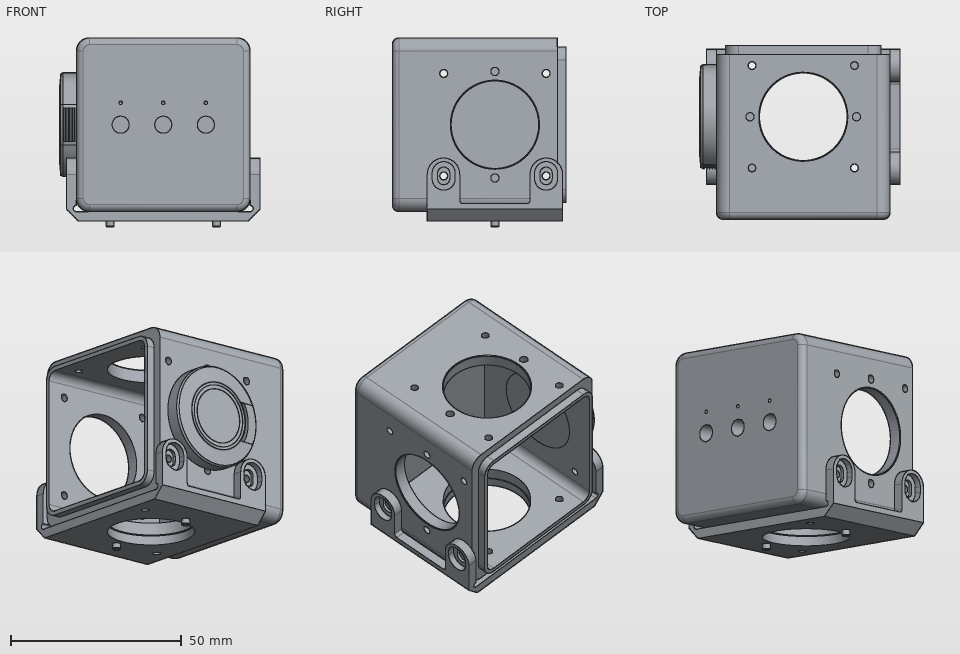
import cadquery as cq


cube_side = 50.8
half_cube = cube_side / 2
front_y = -30.0
back_y = 18.3
lip_height = 2.6
lip_side = 45.6
side_edge_radius = 3.8
front_edge_radius = 2.0
wall = 3.9
cavity_side = cube_side - 2 * wall
half_cavity = cavity_side / 2
cavity_corner_radius = side_edge_radius - (lip_side - cavity_side) / 2

port_diameter = 25.6
port_mouth_diameter = 26.1
port_chamfer = (port_mouth_diameter - port_diameter) / 2
screw_spacing = 29.95
screw_hole_diameter = 2.25
pin_spacing = 31.15
pin_diameter = 2.4
pin_hole_depth = 2.95
overrun = 0.6

front_hole_spacing = 12.45
front_hole_diameter = 5.0
front_hole_depth = 7.05
dimple_diameter = 1.0
dimple_depth = dimple_diameter / 2
dimple_z = 6.4

bracket_wall = 2.95
bracket_floor = 2.8
bracket_half_length = 19.8
bracket_chamfer = 3.5
bracket_half_width = half_cube + bracket_wall
bracket_bottom = -half_cube - bracket_floor
tab_radius = 4.75
tab_arc_z = -14.5
window_sill_height = 2.35
window_corner_radius = 0.9
relief_diameter = 1.75
slot_travel = 1.6
slot_width = 3.6
slot_recess_width = 6.75
slot_recess_depth = 2.0

pin_protrusion = 1.7
pin_tip_chamfer = 0.25

cap_diameter = 30.45
cap_height = 5.0
cap_rim_height = 4.6
cap_rim_chamfer_width = 0.4
cap_rim_chamfer_height = 0.65
cap_cone_radius = 10.4
cap_groove_radius = 9.75
cap_groove_section_radius = 0.4
cap_dish_radius = 8.15
cap_dish_depth = 0.1

latch_half_width = 5.95
latch_inner_radius = 11.5
grip_half_width = 4.9
grip_start = 0.35
grip_end = 3.6
grip_groove_count = 4
grip_groove_depth = 0.5


def centred_box(x_size, z_size, y_start, y_end, corner_radius):
    """Block along Y, centred on the Y axis, with its four long edges rounded."""
    block = cq.Workplane("XY").box(x_size, y_end - y_start, z_size)
    block = block.translate((0, (y_start + y_end) / 2, 0))
    return block.edges("|Y").fillet(corner_radius)


def x_cylinder(diameter, x_start, x_end, y=0, z=0):
    """Cylinder along X."""
    disc = cq.Workplane("YZ", origin=(x_start, y, z)).circle(diameter / 2)
    return disc.extrude(x_end - x_start)


def port_set():
    """Cutters for one port in the top wall: bore, chamfered mouth, screw and pin holes."""
    bore = (
        cq.Workplane("XY", origin=(0, 0, half_cavity - overrun))
        .circle(port_diameter / 2)
        .extrude(wall + 2 * overrun)
    )
    mouth = (
        cq.Workplane("XY", origin=(0, 0, half_cube))
        .circle(port_mouth_diameter / 2)
        .extrude(-port_chamfer, taper=45)
    )
    screws = (
        cq.Workplane("XY", origin=(0, 0, half_cavity - overrun))
        .rect(screw_spacing, screw_spacing, forConstruction=True)
        .vertices()
        .circle(screw_hole_diameter / 2)
        .extrude(wall + 2 * overrun)
    )
    pins = (
        cq.Workplane("XY", origin=(0, 0, half_cube))
        .pushPoints([(-pin_spacing / 2, 0), (pin_spacing / 2, 0)])
        .circle(pin_diameter / 2)
        .extrude(-pin_hole_depth)
    )
    return bore.union(mouth).union(screws).union(pins)


def make_housing():
    """Hollow cube, open at the back, with a raised lip there and a port in each of four walls."""
    body = centred_box(cube_side, cube_side, front_y, back_y, side_edge_radius)
    body = body.faces("<Y").edges().fillet(front_edge_radius)
    body = body.union(centred_box(lip_side, lip_side, back_y, back_y + lip_height, side_edge_radius))
    cavity = centred_box(cavity_side, cavity_side, -half_cavity, back_y + lip_height, cavity_corner_radius)
    body = body.cut(cavity)

    for quarter_turn in range(4):
        body = body.cut(port_set().rotate((0, 0, 0), (0, 1, 0), 90 * quarter_turn))

    columns = [-front_hole_spacing, 0, front_hole_spacing]
    front = cq.Workplane("XZ", origin=(0, front_y, 0))
    blind_holes = (
        front.pushPoints([(x, 0) for x in columns])
        .circle(front_hole_diameter / 2)
        .extrude(-front_hole_depth)
    )
    body = body.cut(blind_holes)
    for x in columns:
        dimple_centre = cq.Vector(x, front_y, dimple_z)
        dimple = cq.Solid.makeCone(
            dimple_diameter / 2, 0, dimple_depth, dimple_centre, cq.Vector(0, 1, 0)
        )
        body = body.cut(cq.Workplane(dimple))
    return body


def make_bracket():
    """U-shaped bracket under the housing, with two slotted tabs on each side."""
    tab_y = bracket_half_length - tab_radius
    window_half_length = tab_y - tab_radius

    body = cq.Workplane("XY").box(
        2 * bracket_half_width, 2 * bracket_half_length, tab_arc_z - bracket_bottom
    )
    body = body.translate((0, 0, (tab_arc_z + bracket_bottom) / 2))
    body = body.edges("|Y and <Z").chamfer(bracket_chamfer)
    channel = cq.Workplane("XY", origin=(0, 0, -half_cube)).rect(cube_side, 3 * bracket_half_length)
    body = body.cut(channel.extrude(cube_side))

    for side in (-1, 1):
        relief = (
            cq.Workplane("XZ", origin=(side * half_cube, 0, -half_cube + relief_diameter / 2))
            .slot2D(2 * relief_diameter, relief_diameter)
            .extrude(bracket_half_length, both=True)
            .translate((-side * relief_diameter / 2, 0, 0))
        )
        body = body.cut(relief)

    sill_z = -half_cube + window_sill_height
    window = cq.Workplane("XY", origin=(0, 0, sill_z)).rect(3 * bracket_half_width, 2 * window_half_length)
    window = window.extrude(cube_side).edges("|X and <Z").fillet(window_corner_radius)
    body = body.cut(window)

    for y in (-tab_y, tab_y):
        body = body.union(x_cylinder(2 * tab_radius, half_cube, bracket_half_width, y, tab_arc_z))
        body = body.union(x_cylinder(2 * tab_radius, -bracket_half_width, -half_cube, y, tab_arc_z))

    for y in (-screw_spacing / 2, screw_spacing / 2):
        for side in (-1, 1):
            slot_plane = cq.Plane(
                origin=(side * bracket_half_width, y, -screw_spacing / 2),
                xDir=(0, 0, 1),
                normal=(-side, 0, 0),
            )
            slot = (
                cq.Workplane(slot_plane)
                .slot2D(slot_width + slot_travel, slot_width)
                .extrude(bracket_wall)
            )
            recess = (
                cq.Workplane(slot_plane)
                .slot2D(slot_recess_width + slot_travel, slot_recess_width)
                .extrude(slot_recess_depth)
            )
            body = body.cut(slot).cut(recess)

    floor = cq.Workplane("XY", origin=(0, 0, bracket_bottom))
    half_spacing = screw_spacing / 2
    port = floor.circle(port_diameter / 2).extrude(bracket_floor)
    screws = (
        floor.pushPoints([(-half_spacing, half_spacing), (half_spacing, -half_spacing)])
        .circle(screw_hole_diameter / 2)
        .extrude(bracket_floor)
    )
    pins = (
        floor.pushPoints([(-pin_spacing / 2, 0), (pin_spacing / 2, 0)])
        .circle(pin_diameter / 2)
        .extrude(bracket_floor)
    )
    return body.cut(port).cut(screws).cut(pins)


def make_pin(x):
    """Alignment pin through the bracket floor, with a chamfered tip below it."""
    pin = cq.Workplane("XY", origin=(x, 0, bracket_bottom - pin_protrusion)).circle(pin_diameter / 2)
    return pin.extrude(bracket_floor + pin_protrusion).faces("<Z").chamfer(pin_tip_chamfer)


def cap_blank():
    """Cap flange without its plug: a disc with a flat middle, a conical face and a chamfered rim."""
    rim = cap_diameter / 2
    profile = [
        (0, 0),
        (cap_height, 0),
        (cap_height, cap_cone_radius),
        (cap_rim_height, rim - cap_rim_chamfer_width),
        (cap_rim_height - cap_rim_chamfer_height, rim),
        (0, rim),
    ]
    points = [(-half_cube - height, radius) for height, radius in profile]
    return cq.Workplane("XY").polyline(points).close().revolve(360, (0, 0, 0), (1, 0, 0))


def latch_sector(inner_radius):
    """Straight-sided block toward -Y, with a round inner end on the cap axis."""
    x_start = -half_cube - 2 * cap_height
    block = cq.Workplane("XY").box(2 * cap_height, cap_diameter, 2 * latch_half_width)
    block = block.translate((x_start + cap_height, -cap_diameter / 2, 0))
    return block.cut(x_cylinder(2 * inner_radius, x_start, -half_cube))


def make_cap():
    """Port cap: a plug in the port and a flange with a ring groove, a dish and the latch notch."""
    face_x = -half_cube - cap_height
    groove = cq.Solid.makeTorus(
        cap_groove_radius, cap_groove_section_radius, cq.Vector(face_x, 0, 0), cq.Vector(1, 0, 0)
    )
    body = cap_blank().cut(latch_sector(cap_cone_radius))
    body = body.cut(cq.Workplane(groove))
    body = body.cut(x_cylinder(2 * cap_dish_radius, face_x, face_x + cap_dish_depth))
    return body.union(x_cylinder(port_diameter, -half_cube, -half_cavity))


def make_latch():
    """Shoe that fills the cap's notch, with V grooves across its outer face as a thumb grip."""
    body = cap_blank().intersect(latch_sector(latch_inner_radius))
    rim = cap_diameter / 2
    pitch = (grip_end - grip_start) / grip_groove_count
    points = [(-half_cube - grip_start, rim)]
    for i in range(grip_groove_count):
        groove_x = -half_cube - grip_start - i * pitch
        points.append((groove_x - pitch / 2, rim - grip_groove_depth))
        points.append((groove_x - pitch, rim))
    points.append((-half_cube - grip_end, rim + grip_groove_depth))
    points.append((-half_cube - grip_start, rim + grip_groove_depth))
    grooves = cq.Workplane("XY").polyline(points).close().revolve(360, (0, 0, 0), (1, 0, 0))
    grip_area = cq.Workplane("XY").box(2 * cap_height, cap_diameter, 2 * grip_half_width)
    grip_area = grip_area.translate((-half_cube - cap_height, -rim, 0))
    return body.cut(grooves.intersect(grip_area))


housing = make_housing()
bracket = make_bracket()
pins = [make_pin(x) for x in (-pin_spacing / 2, pin_spacing / 2)]
cap = make_cap()
latch = make_latch()

result = cq.Compound.makeCompound(
    [housing.val(), bracket.val(), *[pin.val() for pin in pins], cap.val(), latch.val()]
)